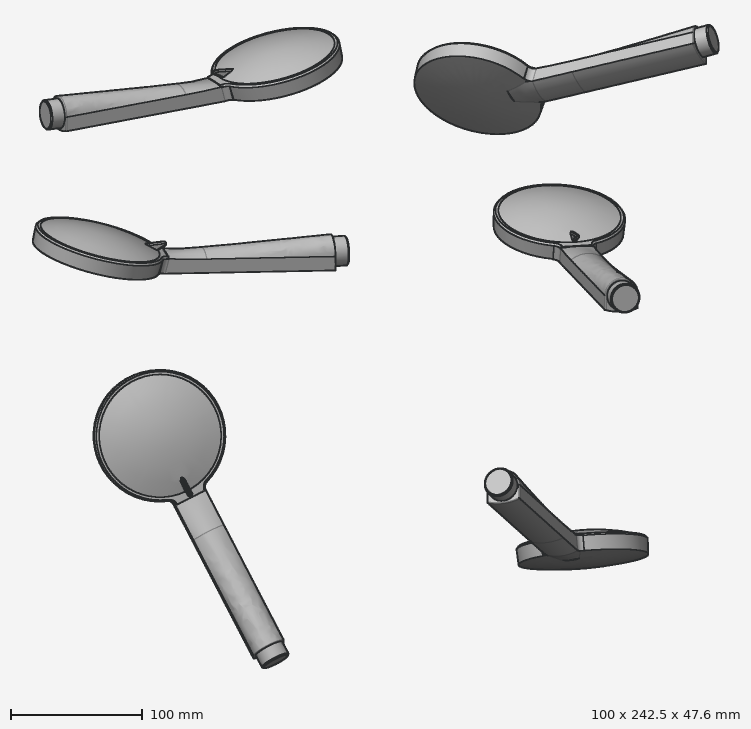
import cadquery as cq
import math


overall_length = 242.5

connector_radius = 11.5
connector_length = 11.1
connector_chamfer = 1.0

handle_width = 26.0
handle_half_width = handle_width / 2
handle_end_round = 0.7
handle_butt_heights = (13.3, 0.36, -11.0, -13.0)
neck_start_y = 111.3
neck_start_heights = (10.0, 5.5, -5.5, -7.8)
neck_middle_y = 126
neck_middle_heights = (9.2, 6.5, -4.5, -7.0)

head_tilt = math.radians(14.6)
head_centre_z = 22.3
head_diameter = 100.0
head_radius = head_diameter / 2
head_foot_radius = 49.5
wall_top = -1.7
wall_foot = -13.3
back_depth = 18.0
rim_flat_radius = 48.7
head_centre_y = overall_length - head_foot_radius * math.cos(head_tilt) + wall_foot * math.sin(head_tilt)
junction_radius = 5.5

junction_half_width = handle_half_width + junction_radius
neck_end = -math.sqrt((head_radius + junction_radius) ** 2 - junction_half_width**2)
neck_end_heights = (-0.5, -1.2, wall_foot, -15.8)
belly_end = -29
belly_end_heights = (-2.5, -3.5, -14.0, -17.0)

face_radius = 46.5
face_edge_height = 0.12
face_rise = 8.0
lever_width = 3.6
lever_root_y, lever_root_z = 150.3, 12
lever_back_y, lever_back_z = 157.5, 16.7
lever_nose_y, lever_nose_z = 142.0, 17.7
lever_tip_y, lever_tip_z = 141.0, 14.0
lever_heel_y, lever_heel_z = 147.0, 11.0
lever_chamfer = 1.2


def head_plane(distance):
    """Plane across the tilted head's length, `distance` along it from the head centre."""
    along = cq.Vector(0, math.cos(head_tilt), math.sin(head_tilt))
    origin = cq.Vector(0, head_centre_y, head_centre_z) + along * distance
    return cq.Plane(origin=origin, xDir=(1, 0, 0), normal=-along)


def handle_plane(y):
    return cq.Plane(origin=(0, y, 0), xDir=(1, 0, 0), normal=(0, -1, 0))


def section(plane, heights):
    """Handle outline: arched top, flat side walls and a shallow arched belly."""
    crown, shoulder, foot, belly = heights
    outline = (
        cq.Workplane(plane)
        .moveTo(-handle_half_width, shoulder)
        .threePointArc((0, crown), (handle_half_width, shoulder))
        .lineTo(handle_half_width, foot)
        .threePointArc((0, belly), (-handle_half_width, foot))
        .close()
    )
    return outline.wire().val()


def loft(*wires):
    return cq.Workplane(cq.Solid.makeLoft(list(wires)))


def place_on_head(shape):
    """Move a shape from the head's own frame to its tilted place."""
    tilted = shape.rotate((0, 0, 0), (1, 0, 0), math.degrees(head_tilt))
    return tilted.translate((0, head_centre_y, head_centre_z))


def make_handle():
    """Tapered grip, neck bending up to the head, and belly fading into the head's back."""
    butt = section(handle_plane(connector_length), handle_butt_heights)
    neck_start = section(handle_plane(neck_start_y), neck_start_heights)
    neck_middle = section(handle_plane(neck_middle_y), neck_middle_heights)
    neck_end_section = section(head_plane(neck_end), neck_end_heights)
    belly_end_section = section(head_plane(belly_end), belly_end_heights)
    grip = loft(butt, neck_start).faces("<Y").edges().fillet(handle_end_round)
    neck = loft(neck_start, neck_middle, neck_end_section)
    belly = loft(neck_end_section, belly_end_section)
    return grip.union(neck).union(belly)


def cap_drop(base_radius, rise):
    """How far a spherical cap has fallen below its peak at half its base radius."""
    sphere_radius = (base_radius**2 + rise**2) / (2 * rise)
    return sphere_radius - math.sqrt(sphere_radius**2 - (base_radius / 2) ** 2)


def make_head():
    """Round head with a tapered side wall, a chamfered rim and a domed back."""
    back_rise = back_depth + wall_foot
    back_mid_depth = back_depth - cap_drop(head_foot_radius, back_rise)
    disc = (
        cq.Workplane("XZ")
        .moveTo(0, 0)
        .lineTo(0, -back_depth)
        .threePointArc((head_foot_radius / 2, -back_mid_depth), (head_foot_radius, wall_foot))
        .lineTo(head_radius, wall_top)
        .lineTo(rim_flat_radius, 0)
        .close()
        .revolve(360, (0, 0, 0), (0, 1, 0))
    )
    return place_on_head(disc.union(make_junction()))


def make_junction():
    """Web between the head and the neck, flared to the head by a fillet on each side."""
    tangent_share = head_radius / (head_radius + junction_radius)
    tangent_x = junction_half_width * tangent_share
    tangent_y = neck_end * tangent_share
    web = (
        cq.Workplane("XY")
        .workplane(offset=wall_foot)
        .moveTo(-handle_half_width, neck_end)
        .lineTo(handle_half_width, neck_end)
        .radiusArc((tangent_x, tangent_y), junction_radius)
        .lineTo(0, 0)
        .lineTo(-tangent_x, tangent_y)
        .radiusArc((-handle_half_width, neck_end), junction_radius)
        .close()
        .extrude(-wall_foot)
    )
    return web.faces(">Z").edges("%CIRCLE").chamfer(-wall_top, head_radius - rim_flat_radius)


def make_lever():
    """Thumb lever: a thin fin rising from the edge of the spray face and leaning out over the neck."""
    fin = (
        cq.Workplane("YZ")
        .moveTo(lever_root_y, lever_root_z)
        .lineTo(lever_back_y, lever_back_z)
        .lineTo(lever_nose_y, lever_nose_z)
        .tangentArcPoint((lever_tip_y, lever_tip_z), relative=False)
        .lineTo(lever_heel_y, lever_heel_z)
        .close()
        .extrude(lever_width / 2, both=True)
    )
    return fin.faces("<X or >X").edges(">Z").chamfer(lever_chamfer)


def make_spray_face():
    """Shallow dome resting on the rim plane, in one piece with its lever."""
    peak = face_edge_height + face_rise
    mid_height = peak - cap_drop(face_radius, face_rise)
    dome = (
        cq.Workplane("XZ")
        .lineTo(face_radius, 0)
        .lineTo(face_radius, face_edge_height)
        .threePointArc((face_radius / 2, mid_height), (0, peak))
        .close()
        .revolve(360, (0, 0, 0), (0, 1, 0))
    )
    return place_on_head(dome).union(make_lever())


def make_connector():
    stub = cq.Workplane("XZ").circle(connector_radius).extrude(-connector_length)
    return stub.faces("<Y").chamfer(connector_chamfer)


housing = make_handle().union(make_head())
spray_face = make_spray_face()
connector = make_connector()
result = cq.Compound.makeCompound([housing.val(), spray_face.val(), connector.val()])